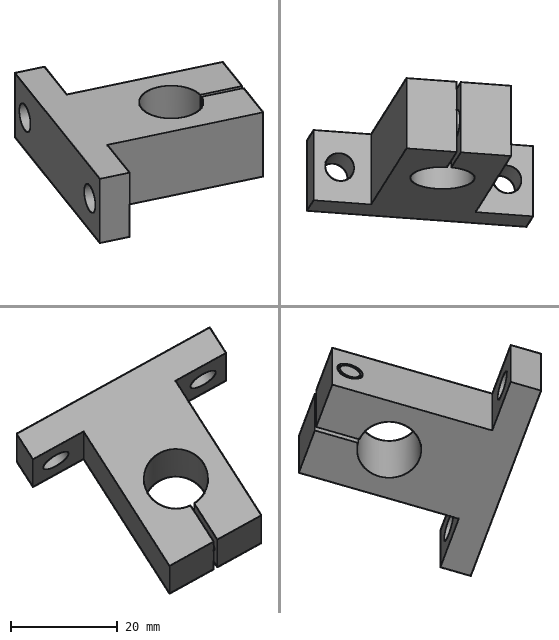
import cadquery as cq

base_length = 42.0
total_height = 37.5
thickness = 14.0
base_height = 6.0
column_width = 20.0

bore_diameter = 12.0
bore_y = 23.0
slit_width = 0.8

screw_diameter = 5.0
screw_y = total_height - 3.5
groove_width = 0.5
groove_depth = groove_width / 2

mount_hole_diameter = 5.5
mount_hole_spacing = 32.0


def make_body():
    base = cq.Workplane("XY").box(base_length, base_height, thickness, centered=(True, False, True))
    column = cq.Workplane("XY").box(column_width, total_height, thickness, centered=(True, False, True))
    return base.union(column)


def make_bore_and_slit():
    bore = cq.Workplane("XY").center(0, bore_y).circle(bore_diameter / 2).extrude(thickness / 2, both=True)
    slit_length = total_height - bore_y
    slit = (
        cq.Workplane("XY")
        .box(slit_width, slit_length, thickness, centered=(True, False, True))
        .translate((0, bore_y, 0))
    )
    return bore.union(slit)


def make_mount_holes():
    hole_offset = mount_hole_spacing / 2
    return (
        cq.Workplane("XZ")
        .pushPoints([(-hole_offset, 0), (hole_offset, 0)])
        .circle(mount_hole_diameter / 2)
        .extrude(-base_height)
    )


def make_screw_shank():
    """Shank bridging the slit and joining the two clamp jaws."""
    return (
        cq.Workplane("YZ", origin=(-column_width / 4, 0, 0))
        .center(screw_y, 0)
        .circle(screw_diameter / 2)
        .extrude(column_width / 2)
    )


def make_screw_end_groove():
    """V-shaped ring left between the chamfered screw end and its chamfered hole."""
    side_x = -column_width / 2
    screw_radius = screw_diameter / 2
    return (
        cq.Workplane("XY")
        .moveTo(side_x, screw_y + screw_radius - groove_width)
        .lineTo(side_x, screw_y + screw_radius)
        .lineTo(side_x + groove_depth, screw_y + screw_radius - groove_width / 2)
        .close()
        .revolve(360, (side_x, screw_y), (side_x + 0.4, screw_y))
    )


clamp = make_body().cut(make_bore_and_slit()).cut(make_mount_holes())
result = clamp.union(make_screw_shank()).cut(make_screw_end_groove())